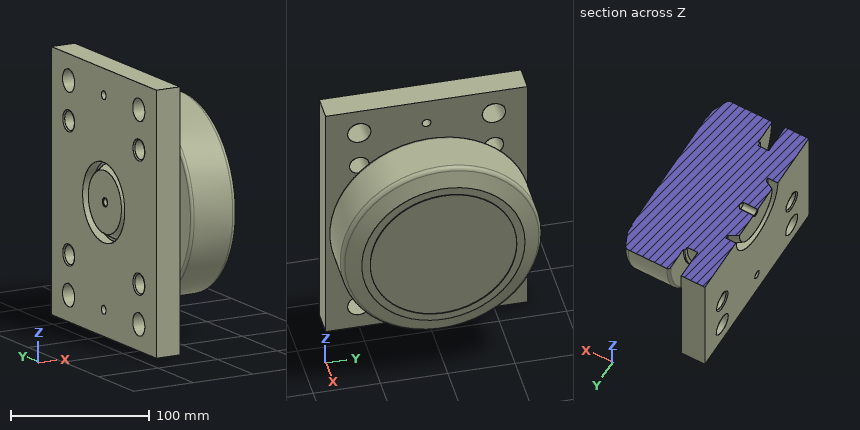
import cadquery as cq
import math

plate_thickness = 20.0
plate_width = 150.0
plate_height = 200.0

neck_radius = 51.5
shoulder_start = 28.5
shoulder_radius = 54.5
wheel_start = 30.0
wheel_radius = 74.5
wheel_back_fillet = 2.0
rim_arc_start = 64.5
rim_arc_radius = 4.0
rim_cone_angle = math.radians(67)
wheel_end = 73.0
cap_end = 73.5
cap_radius = 54.5

groove_radius = 30.0
pin_radius = 27.8
pin_chamfer_width = 4.2
pin_chamfer_length = 7.2
pin_recess = 1.0
centre_hole_diameter = 5.5
centre_hole_chamfer = 0.5
centre_hole_depth = 12.0
drill_tip_angle = math.radians(118)

hole_spacing_y = 100.0
clearance_spacing_z = 160.0
clearance_diameter = 17.2
threaded_spacing_z = 100.0
threaded_diameter = 14.5
threaded_chamfer = 1.0
dowel_diameter = 6.5


def revolve_about_x(profile):
    """Turn a closed (x, radius) outline, drawn in the XY plane, about the X axis."""
    return profile.close().revolve(360, (0, 0, 0), (1, 0, 0))


def make_plate():
    return cq.Workplane("XY").box(
        plate_thickness, plate_width, plate_height, centered=(False, True, True)
    )


def rim_arc_point(angle):
    """Point on the rim rounding after its tangent has turned by the given angle."""
    x = rim_arc_start + rim_arc_radius * math.sin(angle)
    radius = wheel_radius - rim_arc_radius * (1 - math.cos(angle))
    return (x, radius)


def make_wheel():
    arc_end = rim_arc_point(rim_cone_angle)
    cone_end_radius = arc_end[1] - (wheel_end - arc_end[0]) * math.tan(rim_cone_angle)
    fillet_inset = wheel_back_fillet * (1 - math.sqrt(0.5))
    profile = (
        cq.Workplane("XY")
        .moveTo(plate_thickness, 0)
        .lineTo(plate_thickness, neck_radius)
        .lineTo(shoulder_start, neck_radius)
        .lineTo(shoulder_start, shoulder_radius)
        .lineTo(wheel_start, shoulder_radius)
        .lineTo(wheel_start, wheel_radius - wheel_back_fillet)
        .threePointArc(
            (wheel_start + fillet_inset, wheel_radius - fillet_inset),
            (wheel_start + wheel_back_fillet, wheel_radius),
        )
        .lineTo(rim_arc_start, wheel_radius)
        .threePointArc(rim_arc_point(rim_cone_angle / 2), arc_end)
        .lineTo(wheel_end, cone_end_radius)
        .lineTo(wheel_end, cap_radius)
        .lineTo(cap_end, cap_radius)
        .lineTo(cap_end, 0)
    )
    return revolve_about_x(profile)


def make_pin_recess():
    """Shallow round recess, deepened to a ring around the steep chamfer of the pin end."""
    floor = pin_recess + pin_chamfer_length
    profile = (
        cq.Workplane("XY")
        .lineTo(pin_recess, 0)
        .lineTo(pin_recess, pin_radius - pin_chamfer_width)
        .lineTo(floor, pin_radius)
        .lineTo(floor, groove_radius)
        .lineTo(0, groove_radius)
    )
    return revolve_about_x(profile)


def make_centre_hole():
    """Blind drilled hole in the pin end, with a chamfered mouth and a conical tip."""
    radius = centre_hole_diameter / 2
    hole_end = pin_recess + centre_hole_depth
    tip_length = radius / math.tan(drill_tip_angle / 2)
    profile = (
        cq.Workplane("XY")
        .moveTo(pin_recess, 0)
        .lineTo(pin_recess, radius + centre_hole_chamfer)
        .lineTo(pin_recess + centre_hole_chamfer, radius)
        .lineTo(hole_end, radius)
        .lineTo(hole_end + tip_length, 0)
    )
    return revolve_about_x(profile)


def plate_holes(diameter, spacing_y, spacing_z, chamfer=0):
    """Through holes at the corners of a rectangle, with an optional entry chamfer at X = 0."""
    radius = diameter / 2
    hole = cq.Workplane("YZ").circle(radius).extrude(plate_thickness)
    if chamfer:
        entry = (
            cq.Workplane("XY")
            .lineTo(0, radius + chamfer)
            .lineTo(chamfer, radius)
            .lineTo(chamfer, 0)
        )
        hole = hole.union(revolve_about_x(entry))
    columns = (-spacing_y / 2, spacing_y / 2) if spacing_y else (0,)
    holes = cq.Workplane("XY")
    for y in columns:
        for z in (-spacing_z / 2, spacing_z / 2):
            holes = holes.add(hole.translate((0, y, z)))
    return holes.combine()


plate = (
    make_plate()
    .cut(plate_holes(clearance_diameter, hole_spacing_y, clearance_spacing_z))
    .cut(plate_holes(threaded_diameter, hole_spacing_y, threaded_spacing_z, threaded_chamfer))
    .cut(plate_holes(dowel_diameter, 0, clearance_spacing_z))
)
result = plate.union(make_wheel()).cut(make_pin_recess()).cut(make_centre_hole())